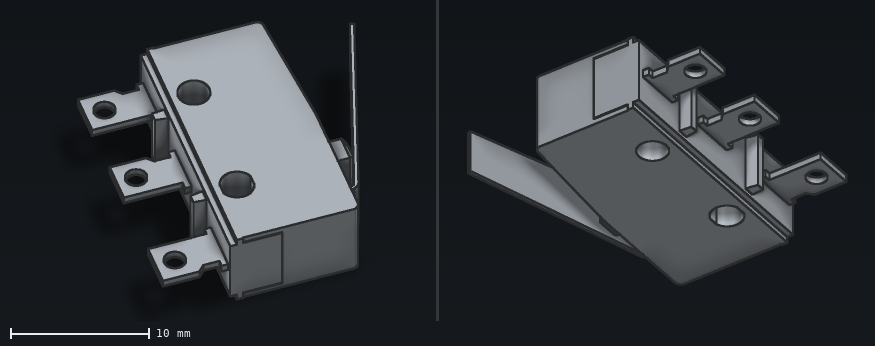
import cadquery as cq
import math


OVERALL_LENGTH = 20.9
LEVER_TIP_Y = OVERALL_LENGTH / 2
TERMINAL_TIP_Y = -OVERALL_LENGTH / 2

CASE_WIDTH = 19.65
CASE_HEIGHT = 9.97
CASE_LOW_HEIGHT = 9.2
SLOPE_START_X = 0.15
CASE_THICKNESS = 6.4
CORNER_RADIUS = 0.5

BASE_WIDTH = 19.8
BASE_THICKNESS = 5.41
BASE_STEP = 0.5
SIDE_PANEL_HEIGHT = 4.0

HOLE_DIAMETER = 2.38
HOLE_X = 4.77
HOLE_HEIGHT = 2.3
FLATTED_HOLE_DIAMETER = 2.53

PLUNGER_X = 2.78
PLUNGER_WIDTH = 1.99
PLUNGER_DEPTH = 3.6
PLUNGER_HEIGHT = 1.34
DOME_HEIGHT = 0.5

KEY_HEIGHT = 0.98
KEY_DEPTH = 4.58
KEY_ROOT_OUTER_X = 4.68
KEY_ROOT_INNER_X = 3.78
KEY_TIP_OUTER_X = 4.6
KEY_TIP_INNER_X = 3.93

TERMINAL_LENGTH = 5.0
TERMINAL_THICKNESS = 0.6
TERMINAL_HOLE_DIAMETER = 1.6
TERMINAL_HOLE_DISTANCE = 3.51
TERMINAL_X = 7.77
TERMINAL_PITCH = 7.0
NOTCH_DEPTH = 0.5
NOTCH_START = 1.73
NOTCH_END = 2.22
SHOULDER_HEIGHT = 0.5
NARROW_BLADE_WIDTH = 3.15
NARROW_BLADE_SHOULDER = 0.59
WIDE_BLADE_WIDTH = 3.32
WIDE_BLADE_SHOULDER = 0.5

LEVER_THICKNESS = 0.31
LEVER_ANGLE = math.radians(18)
LEVER_REACH_X = 7.02
LEVER_BEND_CENTER_HEIGHT = 0.31
LEVER_BEND_RADIUS = 0.77
LEVER_ROOT_WIDTH = 4.25
LEVER_TIP_WIDTH = 3.6

BASE_Y = TERMINAL_TIP_Y + TERMINAL_LENGTH
CASE_TOP_Y = BASE_Y + CASE_HEIGHT


def slab(width, y_bottom, y_top, thickness):
    """Block centred on X and Z between two Y levels."""
    block = cq.Workplane("XY").box(width, y_top - y_bottom, thickness)
    return block.translate((0, (y_bottom + y_top) / 2, 0))


def make_case():
    half = CASE_WIDTH / 2
    flange_bottom = BASE_Y + BASE_STEP
    case = (
        cq.Workplane("XY")
        .moveTo(-half, flange_bottom)
        .lineTo(half, flange_bottom)
        .lineTo(half, CASE_TOP_Y)
        .lineTo(SLOPE_START_X, CASE_TOP_Y)
        .lineTo(-half, BASE_Y + CASE_LOW_HEIGHT)
        .close()
        .extrude(CASE_THICKNESS / 2, both=True)
    )
    top_corners = cq.selectors.BoxSelector(
        (-BASE_WIDTH, flange_bottom + BASE_STEP, -CASE_THICKNESS),
        (BASE_WIDTH, CASE_TOP_Y + BASE_STEP, CASE_THICKNESS),
    )
    return case.edges("|Z").edges("<X or >X").edges(top_corners).fillet(CORNER_RADIUS)


def make_base():
    flange_bottom = BASE_Y + BASE_STEP
    side_panels = slab(BASE_WIDTH, BASE_Y, BASE_Y + SIDE_PANEL_HEIGHT, BASE_THICKNESS)
    flange = slab(BASE_WIDTH, flange_bottom, flange_bottom + BASE_STEP, CASE_THICKNESS)
    return side_panels.union(flange)


def make_mounting_holes():
    y = BASE_Y + HOLE_HEIGHT
    round_hole = cq.Workplane("XY").center(-HOLE_X, y).circle(HOLE_DIAMETER / 2)
    wide_hole = cq.Workplane("XY").center(HOLE_X, y).circle(FLATTED_HOLE_DIAMETER / 2)
    round_cutter = round_hole.extrude(CASE_THICKNESS, both=True)
    wide_cutter = wide_hole.extrude(CASE_THICKNESS, both=True)
    between_flats = slab(CASE_WIDTH, y - HOLE_DIAMETER / 2, y + HOLE_DIAMETER / 2, 2 * CASE_THICKNESS)
    return round_cutter.union(wide_cutter.intersect(between_flats))


def make_domed_block(plane, width, depth):
    """Plunger outline, its top corners rounded by the dome arc, extruded through depth."""
    run = PLUNGER_WIDTH / 2
    radius = (run**2 + DOME_HEIGHT**2) / (2 * DOME_HEIGHT)
    half = width / 2
    crest = PLUNGER_HEIGHT + DOME_HEIGHT
    mid_inset = run / 2
    mid_height = crest - radius + math.sqrt(radius**2 - mid_inset**2)
    outline = (
        cq.Workplane(plane)
        .moveTo(-half, 0)
        .lineTo(-half, PLUNGER_HEIGHT)
        .threePointArc((-half + mid_inset, mid_height), (-half + run, crest))
    )
    if half > run:
        outline = outline.lineTo(half - run, crest)
    return (
        outline.threePointArc((half - mid_inset, mid_height), (half, PLUNGER_HEIGHT))
        .lineTo(half, 0)
        .close()
        .extrude(depth / 2, both=True)
    )


def make_plunger():
    lengthwise = make_domed_block("XY", PLUNGER_WIDTH, PLUNGER_DEPTH)
    crosswise = make_domed_block("ZY", PLUNGER_DEPTH, PLUNGER_WIDTH)
    return lengthwise.intersect(crosswise).translate((PLUNGER_X, CASE_TOP_Y, 0))


def make_key(side):
    """Tapered locating key; side is -1 or +1 along X."""
    tip_y = BASE_Y - KEY_HEIGHT
    return (
        cq.Workplane("XY")
        .moveTo(side * KEY_ROOT_OUTER_X, BASE_Y)
        .lineTo(side * KEY_TIP_OUTER_X, tip_y)
        .lineTo(side * KEY_TIP_INNER_X, tip_y)
        .lineTo(side * KEY_ROOT_INNER_X, BASE_Y)
        .close()
        .extrude(KEY_DEPTH / 2, both=True)
    )


def make_terminal(x, side, blade_width, shoulder):
    """Terminal centred at x, its notched edge facing side (-1 or +1 along X)."""
    notched_edge = x + side * blade_width / 2
    neck_edge = notched_edge - side * NOTCH_DEPTH
    plain_edge = x - side * blade_width / 2
    shoulder_edge = plain_edge - side * shoulder
    shoulder_y = BASE_Y - SHOULDER_HEIGHT
    return (
        cq.Workplane("XY")
        .moveTo(notched_edge, BASE_Y)
        .lineTo(notched_edge, shoulder_y)
        .lineTo(neck_edge, shoulder_y)
        .lineTo(neck_edge, BASE_Y - NOTCH_START)
        .lineTo(notched_edge, BASE_Y - NOTCH_END)
        .lineTo(notched_edge, TERMINAL_TIP_Y)
        .lineTo(plain_edge, TERMINAL_TIP_Y)
        .lineTo(plain_edge, shoulder_y)
        .lineTo(shoulder_edge, shoulder_y)
        .lineTo(shoulder_edge, BASE_Y)
        .close()
        .moveTo(x, BASE_Y - TERMINAL_HOLE_DISTANCE)
        .circle(TERMINAL_HOLE_DIAMETER / 2)
        .extrude(TERMINAL_THICKNESS / 2, both=True)
    )


def make_housing():
    housing = make_case().union(make_base()).cut(make_mounting_holes()).union(make_plunger())
    for side in (-1, 1):
        housing = housing.union(make_key(side))
    for x in (-TERMINAL_X, -TERMINAL_X + TERMINAL_PITCH):
        housing = housing.union(make_terminal(x, -1, NARROW_BLADE_WIDTH, NARROW_BLADE_SHOULDER))
    return housing.union(make_terminal(TERMINAL_X, 1, WIDE_BLADE_WIDTH, WIDE_BLADE_SHOULDER))


def make_lever():
    center_x = LEVER_REACH_X - LEVER_BEND_RADIUS
    center_y = CASE_TOP_Y + LEVER_BEND_CENTER_HEIGHT
    inner_radius = LEVER_BEND_RADIUS - LEVER_THICKNESS
    blade_normal = math.pi / 2 - LEVER_ANGLE

    def bend_point(radius, angle):
        return (center_x + radius * math.cos(angle), center_y + radius * math.sin(angle))

    outer_foot_angle = -math.asin(LEVER_BEND_CENTER_HEIGHT / LEVER_BEND_RADIUS)
    inner_foot_angle = -math.asin(LEVER_BEND_CENTER_HEIGHT / inner_radius)
    outer_mid_angle = (blade_normal + outer_foot_angle) / 2
    inner_mid_angle = (blade_normal + inner_foot_angle) / 2
    outer_root = bend_point(LEVER_BEND_RADIUS, blade_normal)
    inner_root = bend_point(inner_radius, blade_normal)
    blade_rise = LEVER_TIP_Y - outer_root[1]
    blade_run = blade_rise / math.tan(LEVER_ANGLE)
    outer_tip = (outer_root[0] - blade_run, LEVER_TIP_Y)
    inner_tip = (inner_root[0] - blade_run, inner_root[1] + blade_rise)

    strip = (
        cq.Workplane("XY")
        .moveTo(*bend_point(LEVER_BEND_RADIUS, outer_foot_angle))
        .threePointArc(bend_point(LEVER_BEND_RADIUS, outer_mid_angle), outer_root)
        .lineTo(*outer_tip)
        .lineTo(*inner_tip)
        .lineTo(*inner_root)
        .threePointArc(bend_point(inner_radius, inner_mid_angle), bend_point(inner_radius, inner_foot_angle))
        .close()
        .extrude(LEVER_ROOT_WIDTH / 2, both=True)
    )

    root_half = LEVER_ROOT_WIDTH / 2
    tip_half = LEVER_TIP_WIDTH / 2
    width_outline = (
        cq.Workplane("XZ", origin=(0, CASE_TOP_Y, 0))
        .moveTo(LEVER_REACH_X, -root_half)
        .lineTo(LEVER_REACH_X, root_half)
        .lineTo(outer_root[0], root_half)
        .lineTo(inner_tip[0], tip_half)
        .lineTo(inner_tip[0], -tip_half)
        .lineTo(outer_root[0], -root_half)
        .close()
        .extrude(CASE_TOP_Y - LEVER_TIP_Y)
    )
    return strip.intersect(width_outline)


housing = make_housing()
lever = make_lever()

result = cq.Compound.makeCompound([housing.val(), lever.val()])